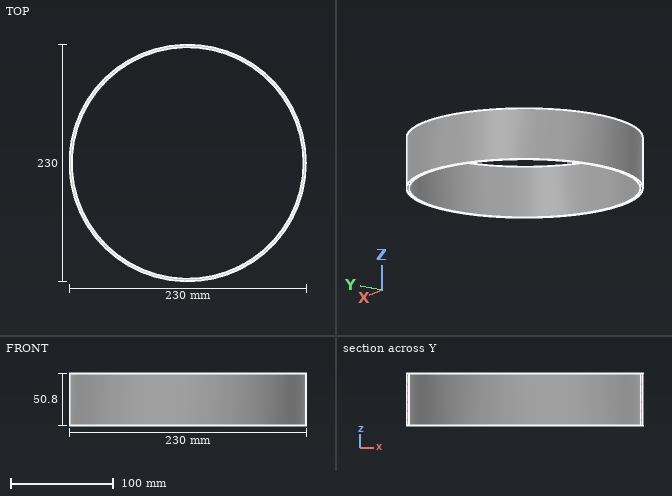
import cadquery as cq

outer_diameter = 230.0
wall_thickness = 2.54
band_height = 50.8

inner_diameter = outer_diameter - 2 * wall_thickness


def make_band():
    """Thin ring about the Z axis, standing on the XY plane."""
    return (
        cq.Workplane("XY")
        .circle(outer_diameter / 2)
        .circle(inner_diameter / 2)
        .extrude(band_height)
    )


result = make_band()